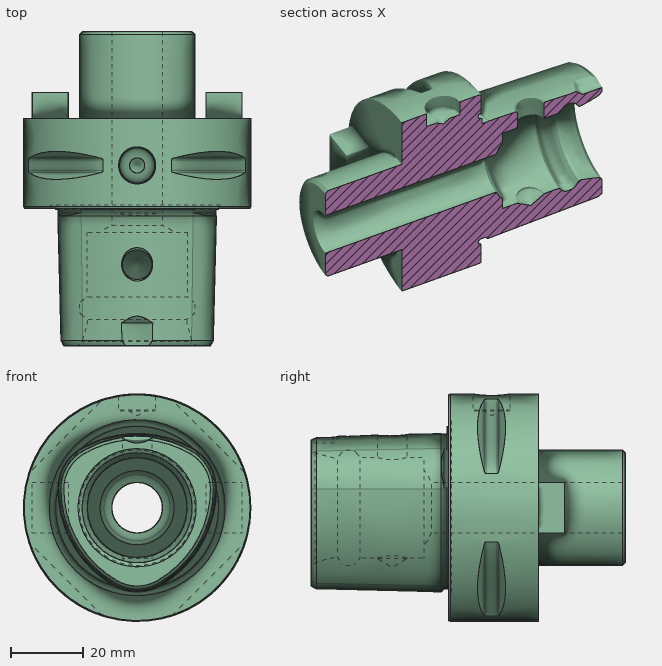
import cadquery as cq
import math

flange_length = 25.0
taper_length = 38.0
pilot_length = 24.0
flange_diameter = 63.0
flange_radius = flange_diameter / 2
flange_chamfer_length = 0.5
flange_chamfer_depth = 0.3
pilot_radius = 16.0
pilot_chamfer = 0.9
pilot_end = flange_length + pilot_length

lobe_width = 44.0
lobe_offset = 10.4
lobe_radius = (lobe_width - lobe_offset * math.sqrt(3)) / 2
side_radius = lobe_width - lobe_radius
taper_slope = 1 / 40
taper_start = 2.1
end_chamfer_length = 1.5
end_chamfer_depth = 0.8

neck_inset = 0.2
neck_radius = 22.5
neck_straight = 1.2
seat_height = 0.35
face_groove_outer_radius = 24.4

mouth_radius = 16.35
mouth_chamfer = 1.1
entry_radius = mouth_radius - mouth_chamfer
bore_radius = 13.9
lip_radius = 13.75
entry_cone_length = 5.4
bore_depth = 31.3
screw_seat_radius = 10.3
screw_seat_waist = 9.1
screw_seat_depth = 1.0
through_radius = 7.0
through_cone_half_angle = 65

clamp_groove_radius = 16.0
clamp_groove_start = 7.3
clamp_groove_end = 13.6
clamp_groove_flank = 1.7
clamp_groove_fillet = 1.5

key_inner = 19.05
key_outer = 29.1
key_height = 7.1
key_width = 14.0

groove_position = 11.9
groove_floor_distance = 27.9
groove_floor_width = 3.65
groove_fillet = 0.6
groove_half_angle = 30

chip_hole_radius = 5.1
chip_hole_depth = 4.8
chip_hole_floor_chamfer = 0.3
dimple_radius = 2.1
taper_hole_position = -15.6
taper_hole_radius = 4.1
taper_hole_chamfer = 0.5
taper_hole_overrun = 0.2
drill_half_angle = 59

notch_radius = 6.7
notch_axis_height = 24.6
notch_length = 6.3


def cone_height(radius, half_angle):
    return radius / math.tan(math.radians(half_angle))


def on_circle(center, radius, degrees):
    angle = math.radians(degrees)
    return (center[0] + radius * math.cos(angle), center[1] + radius * math.sin(angle))


def lobe_wire(y, inset):
    """Three-lobed closed wire at station y, offset inwards by inset."""
    edges = []
    for lobe_angle in (30, 150, 270):
        lobe_center = on_circle((0, 0), lobe_offset, lobe_angle)
        side_center = on_circle((0, 0), lobe_offset, lobe_angle + 240)
        arcs = (
            (lobe_center, lobe_radius - inset, lobe_angle),
            (side_center, side_radius - inset, lobe_angle + 60),
        )
        for center, radius, middle in arcs:
            points = [on_circle(center, radius, middle + turn) for turn in (-30, 0, 30)]
            edges.append(cq.Edge.makeThreePointArc(*[cq.Vector(x, y, z) for x, z in points]))
    return cq.Wire.assembleEdges(edges)


def lobe_solid(y_from, inset_from, y_to, inset_to):
    wires = [lobe_wire(y_from, inset_from), lobe_wire(y_to, inset_to)]
    return cq.Workplane(cq.Solid.makeLoft(wires, True))


def turned(profile):
    """Solid of revolution about Y from (radius, y) points."""
    return cq.Workplane("XY").polyline(profile).close().revolve(360, (0, 0, 0), (0, 1, 0))


def flange_and_pilot():
    return turned([
        (0, 0),
        (flange_radius - flange_chamfer_depth, 0),
        (flange_radius, flange_chamfer_length),
        (flange_radius, flange_length),
        (pilot_radius, flange_length),
        (pilot_radius, pilot_end - pilot_chamfer),
        (pilot_radius - pilot_chamfer, pilot_end),
        (0, pilot_end),
    ])


def face_groove():
    """Half-round groove in the flange face round the neck."""
    middle = (face_groove_outer_radius + neck_radius) / 2
    half_width = (face_groove_outer_radius - neck_radius) / 2
    section = cq.Workplane("XY").moveTo(middle, 0).circle(half_width)
    return section.revolve(360, (0, 0, 0), (0, 1, 0))


def taper():
    """Three-lobed taper with a chamfered tip."""
    end_inset = taper_slope * taper_length
    chamfer_start = end_chamfer_length - taper_length
    cone = lobe_solid(-taper_start, taper_slope * taper_start,
                      chamfer_start, -taper_slope * chamfer_start)
    tip = lobe_solid(chamfer_start, -taper_slope * chamfer_start,
                     -taper_length, end_inset + end_chamfer_depth)
    return cone.union(tip)


def neck():
    """Slightly smaller three-lobed neck, its lobes cut back to a cylinder, on a low round seat."""
    flare = taper_start - neck_straight
    envelope = turned([
        (0, 0),
        (neck_radius, 0),
        (neck_radius, -neck_straight),
        (neck_radius + flare, -taper_start),
        (0, -taper_start),
    ])
    seat = turned([(0, 0), (neck_radius, 0), (neck_radius, -seat_height), (0, -seat_height)])
    core = lobe_solid(0, neck_inset, -taper_start, neck_inset)
    return core.intersect(envelope).union(seat)


def bore():
    """Stepped bore from the taper end through the pilot."""
    end = -taper_length
    floor = end + bore_depth
    waist = floor + screw_seat_depth
    through_start = waist + cone_height(screw_seat_waist - through_radius, through_cone_half_angle)
    lip = end + mouth_chamfer + entry_cone_length
    return turned([
        (0, end),
        (mouth_radius, end),
        (entry_radius, end + mouth_chamfer),
        (lip_radius, lip),
        (lip_radius, end + clamp_groove_start),
        (bore_radius, end + clamp_groove_end),
        (bore_radius, floor),
        (screw_seat_radius, floor),
        (screw_seat_waist, waist),
        (through_radius, through_start),
        (through_radius, pilot_end),
        (0, pilot_end),
    ])


def clamp_groove():
    """Groove inside the bore with sloping flanks and rounded outer corners."""
    start = clamp_groove_start - taper_length
    end = clamp_groove_end - taper_length
    ring = turned([
        (0, start),
        (lip_radius, start),
        (clamp_groove_radius, start + clamp_groove_flank),
        (clamp_groove_radius, end - clamp_groove_flank),
        (bore_radius, end),
        (0, end),
    ])
    return ring.edges(cq.selectors.RadiusNthSelector(-1)).fillet(clamp_groove_fillet)


def drive_keys():
    keys = cq.Workplane("XY")
    for side in (-1, 1):
        keys = keys.union(
            cq.Workplane("XY")
            .box(key_outer - key_inner, key_height, key_width)
            .translate((side * (key_inner + key_outer) / 2, flange_length + key_height / 2, 0))
        )
    return keys


def gripper_groove(degrees):
    """Trapezoidal straight groove, its floor facing the given direction about Y."""
    depth = flange_radius - groove_floor_distance
    floor_half = groove_floor_width / 2
    top_half = floor_half + depth * math.tan(math.radians(groove_half_angle))
    return (
        cq.Workplane("YZ")
        .polyline([
            (groove_position - floor_half, groove_floor_distance),
            (groove_position + floor_half, groove_floor_distance),
            (groove_position + top_half, flange_radius),
            (groove_position - top_half, flange_radius),
        ])
        .close()
        .extrude(flange_radius, both=True)
        .edges("|X and <Z")
        .fillet(groove_fillet)
        .rotate((0, 0, 0), (0, 1, 0), degrees)
    )


def turned_hole(y, profile):
    """Solid of revolution about a line parallel to Z at station y, from (radius, z) points."""
    hole = cq.Workplane("XZ").polyline(profile).close().revolve(360, (0, 0, 0), (0, 1, 0))
    return hole.translate((0, y, 0))


def chip_hole():
    """Flat-bottomed hole in the flange with a centre dimple."""
    floor = flange_radius - chip_hole_depth
    return turned_hole(groove_position, [
        (0, flange_radius),
        (chip_hole_radius, flange_radius),
        (chip_hole_radius, floor + chip_hole_floor_chamfer),
        (chip_hole_radius - chip_hole_floor_chamfer, floor),
        (dimple_radius, floor),
        (0, floor - cone_height(dimple_radius, drill_half_angle)),
    ])


def taper_hole():
    """Cross hole through the upper wall whose drill point sinks into the opposite bore wall."""
    surface = side_radius - lobe_offset + taper_slope * taper_hole_position
    clearance = taper_hole_chamfer
    floor = -bore_radius - taper_hole_overrun
    return turned_hole(taper_hole_position, [
        (0, surface + clearance),
        (taper_hole_radius + taper_hole_chamfer + clearance, surface + clearance),
        (taper_hole_radius, surface - taper_hole_chamfer),
        (taper_hole_radius, floor),
        (0, floor - cone_height(taper_hole_radius, drill_half_angle)),
    ])


def notch():
    """Round-bottomed axial notch with a conical end."""
    end = notch_length - taper_length
    return turned([
        (0, -taper_length),
        (notch_radius, -taper_length),
        (notch_radius, end),
        (0, end + notch_radius),
    ]).translate((0, 0, notch_axis_height))


body = flange_and_pilot().cut(face_groove())
body = body.union(neck()).union(taper()).union(drive_keys())
for degrees in (45, 135, 225, 315):
    body = body.cut(gripper_groove(degrees))
result = body.cut(bore()).cut(clamp_groove()).cut(chip_hole()).cut(taper_hole()).cut(notch())